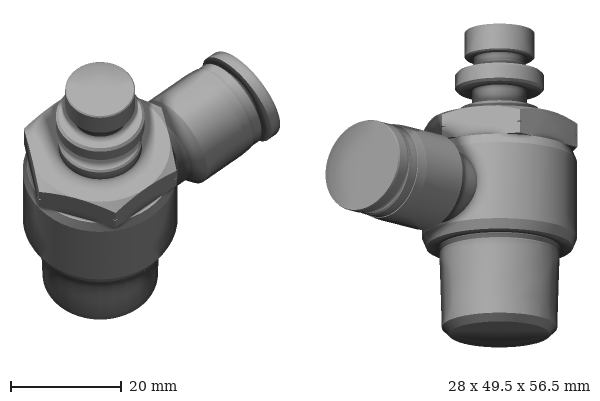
import cadquery as cq
import math


barrel_bottom = 16.3
barrel_height = 17.75
barrel_top = barrel_bottom + barrel_height
barrel_radius = 14.0
barrel_bevel_width = 0.75
barrel_bevel_height = 1.75

arm_z = barrel_bottom + barrel_height / 2
arm_radius = 8.8
arm_neck_radius = 6.7
arm_tip_radius = 8.65
arm_neck_end = 15.95
arm_shoulder = arm_neck_end + arm_radius - arm_neck_radius
arm_taper_start = 27.1
arm_end = 29.15

guide_radius = 8.5
guide_end = 31.45
guide_chamfer = 0.3

sleeve_radius = 5.9
sleeve_flare = 0.2
flange_start = 32.7
flange_end = 34.9
flange_half_width = 9.5
flange_half_height = 8.3
flange_bevel_length = 0.35
flange_bevel_inset = 0.1

thread_tip_radius = 10.45
thread_taper = 1 / 32
thread_chamfer = 1.3
thread_top = 15.15
seat_radius = 11.1
seat_chamfer = 0.2
seat_bevel_bottom = 15.35
seat_bottom_radius = 10.75
shank_radius = 10.9

hex_across_flats = 25.3
hex_height = 5.5
hex_bottom = barrel_top
hex_top = hex_bottom + hex_height
hex_corner_radius = hex_across_flats / math.sqrt(3)
hex_chamfer_angle = 30
hex_groove_z = 36.15
hex_groove_depth = 0.35
hex_groove_height = 0.2

collar_radius = 7.55
collar_top = 41.85
collar_chamfer = 0.35
stem_radius = 5.0
stem_top = 50.35
stem_chamfer = 0.3
lock_ring_radius = 8.0
lock_ring_bottom = 45.4
lock_ring_top = 48.8
lock_ring_chamfer = 0.45
knob_neck_radius = stem_radius - stem_chamfer
knob_radius = 6.3
knob_bottom = 51.6
knob_top = 56.5
knob_chamfer = 0.2


def revolve_z(points):
    """Solid of revolution about the Z axis from (radius, height) points."""
    return cq.Workplane("XZ").polyline(points).close().revolve(360, (0, 0, 0), (0, 1, 0))


def revolve_arm(points):
    """Solid of revolution about the arm axis from (radius, distance along +Y) points."""
    profile = cq.Workplane("XY", origin=(0, 0, arm_z)).polyline(points).close()
    return profile.revolve(360, (0, 0, 0), (0, 1, 0))


def chamfered_disc(radius, bottom, top, chamfer):
    """Disc about the Z axis with both rims chamfered."""
    disc = cq.Workplane("XY").workplane(offset=bottom).circle(radius).extrude(top - bottom)
    return disc.edges().chamfer(chamfer)


def make_elbow():
    bevel_radius = barrel_radius - barrel_bevel_width
    barrel = revolve_z([
        (0, barrel_bottom),
        (bevel_radius, barrel_bottom),
        (barrel_radius, barrel_bottom + barrel_bevel_height),
        (barrel_radius, barrel_top - barrel_bevel_height),
        (bevel_radius, barrel_top),
        (0, barrel_top),
    ])
    arm = revolve_arm([
        (0, 0),
        (arm_neck_radius, 0),
        (arm_neck_radius, arm_neck_end),
        (arm_radius, arm_shoulder),
        (arm_radius, arm_taper_start),
        (arm_tip_radius, arm_end),
        (0, arm_end),
    ])
    bore = cq.Workplane("XY").workplane(offset=barrel_bottom).circle(shank_radius).extrude(barrel_height)
    return barrel.union(arm).cut(bore)


def make_guide_ring():
    return revolve_arm([
        (sleeve_radius, arm_end),
        (guide_radius, arm_end),
        (guide_radius, guide_end - guide_chamfer),
        (guide_radius - guide_chamfer, guide_end),
        (sleeve_radius, guide_end),
    ])


def make_release_sleeve():
    tube = revolve_arm([
        (0, arm_end),
        (sleeve_radius, arm_end),
        (sleeve_radius, flange_start - sleeve_flare),
        (sleeve_radius + sleeve_flare, flange_start),
        (0, flange_start),
    ])
    bevel_start = flange_end - flange_bevel_length
    flange = (
        cq.Workplane("XZ", origin=(0, flange_start, arm_z))
        .ellipse(flange_half_width, flange_half_height)
        .extrude(flange_start - bevel_start)
    )
    bevel = (
        cq.Workplane("XZ", origin=(0, bevel_start, arm_z))
        .ellipse(flange_half_width, flange_half_height)
        .workplane(offset=-flange_bevel_length)
        .ellipse(flange_half_width - flange_bevel_inset, flange_half_height - flange_bevel_inset)
        .loft(ruled=True)
    )
    return tube.union(flange).union(bevel)


def make_hexagon():
    """Hexagon with corners on the Y axis, its top corners chamfered and its edges nicked."""
    corner_angles = [math.radians(30 + 60 * i) for i in range(6)]
    corners = [(hex_corner_radius * math.cos(a), hex_corner_radius * math.sin(a)) for a in corner_angles]
    hexagon = cq.Workplane("XY").workplane(offset=hex_bottom).polyline(corners).close().extrude(hex_height)
    flat_radius = hex_across_flats / 2
    corner_drop = (hex_corner_radius - flat_radius) * math.tan(math.radians(hex_chamfer_angle))
    envelope = revolve_z([
        (0, hex_bottom),
        (hex_corner_radius, hex_bottom),
        (hex_corner_radius, hex_groove_z - hex_groove_height / 2),
        (hex_corner_radius - hex_groove_depth, hex_groove_z),
        (hex_corner_radius, hex_groove_z + hex_groove_height / 2),
        (hex_corner_radius, hex_top - corner_drop),
        (flat_radius, hex_top),
        (0, hex_top),
    ])
    return hexagon.intersect(envelope)


def make_bolt():
    thread_length = thread_top - thread_chamfer
    lower_part = revolve_z([
        (0, 0),
        (thread_tip_radius - thread_chamfer, 0),
        (thread_tip_radius, thread_chamfer),
        (thread_tip_radius + thread_taper * thread_length, thread_top),
        (seat_bottom_radius, seat_bevel_bottom),
        (seat_radius, barrel_bottom - seat_chamfer),
        (shank_radius, barrel_bottom),
        (shank_radius, hex_bottom),
        (0, hex_bottom),
    ])
    upper_part = revolve_z([
        (0, hex_top),
        (collar_radius, hex_top),
        (collar_radius, collar_top - collar_chamfer),
        (collar_radius - collar_chamfer, collar_top),
        (stem_radius, collar_top),
        (stem_radius, stem_top - stem_chamfer),
        (knob_neck_radius, stem_top),
        (knob_neck_radius, knob_bottom),
        (0, knob_bottom),
    ])
    lock_ring = chamfered_disc(lock_ring_radius, lock_ring_bottom, lock_ring_top, lock_ring_chamfer)
    knob = chamfered_disc(knob_radius, knob_bottom, knob_top, knob_chamfer)
    return lower_part.union(make_hexagon()).union(upper_part).union(lock_ring).union(knob)


elbow = make_elbow()
guide_ring = make_guide_ring()
release_sleeve = make_release_sleeve()
bolt = make_bolt()

result = cq.Compound.makeCompound([elbow.val(), guide_ring.val(), release_sleeve.val(), bolt.val()])